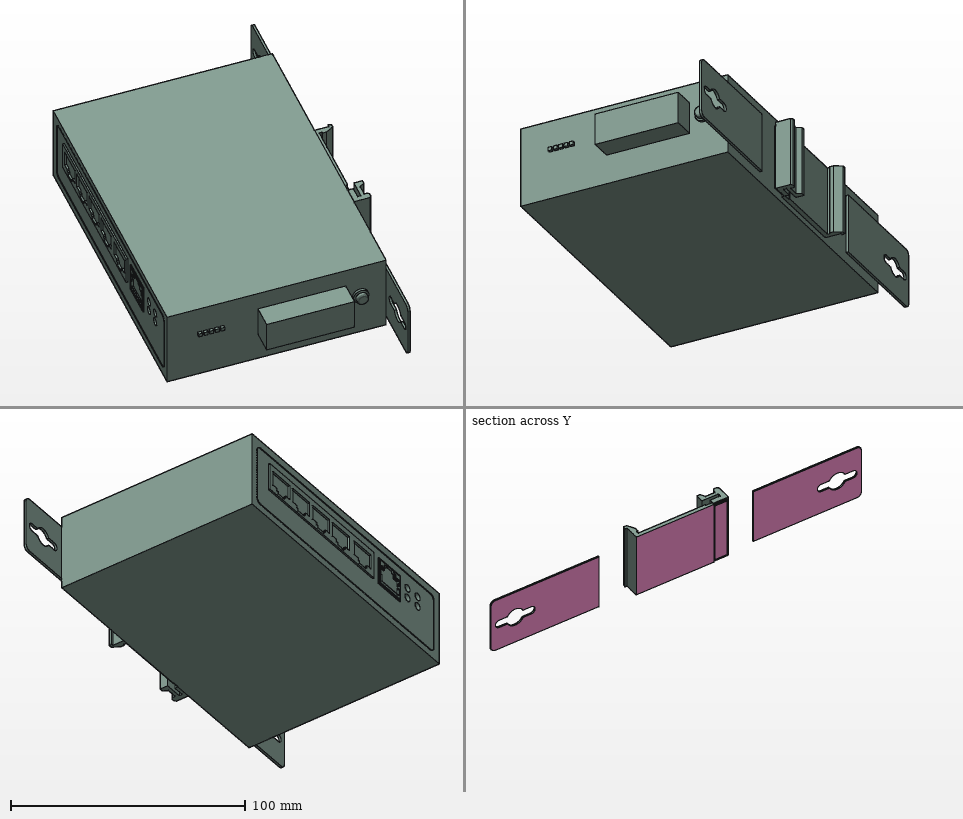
import cadquery as cq

TOTAL_WIDTH = 189.0
BODY_WIDTH = 137.0
BODY_DEPTH = 100.0
BODY_HEIGHT = 38.0
FRONT_Y = -BODY_DEPTH / 2
REAR_Y = BODY_DEPTH / 2
SIDE_X = BODY_WIDTH / 2

PANEL_WIDTH = 129.3
PANEL_HEIGHT = 30.2
PANEL_RADIUS = 2.5
PANEL_DEPTH = 0.4
PANEL_Y = FRONT_Y + PANEL_DEPTH

BLOCK_TOP = 10.5
BLOCK_BOTTOM = -3.2
BLOCK_PROUD = 0.4
BLOCK_Y = FRONT_Y - BLOCK_PROUD
PORT_BLOCK_LEFT = -56.1
PORT_BLOCK_RIGHT = 20.2

PORT_DEPTH = 1.0
PORT_TOP = 7.7
PORT_TIERS = ((12.3, 0.4), (6.5, -0.8), (4.5, -1.9))
FIRST_PORT_X = -47.6
PORT_PITCH = 14.5
PORTS_IN_ROW = 4
LAST_PORT_X = 12.0

JACK_X = 32.1
JACK_WIDTH = 15.9
JACK_RIM = 0.5
JACK_STEP_DEPTH = 0.5
JACK_DEPTH = 1.1
JACK_MOUTH = ((2.3, 9.8), (2.3, 8.7), (4.2, 8.7), (4.2, 7.2), (6.2, 7.2), (6.2, -1.1))
JACK_THROAT = ((2.3, 9.8), (2.3, 8.7), (3.4, 8.7), (3.4, 6.6), (6.2, 6.6), (6.2, -0.5))
SPRING_NOTCH_WIDTH = 14.0
SPRING_NOTCH_Z = 3.8
SPRING_NOTCH_STEPS = ((3.0, JACK_STEP_DEPTH), (1.3, JACK_DEPTH))

LIGHT_DIAMETER = 3.5
LIGHT_DEPTH = 1.9
LIGHT_COLUMNS = (45.7, 53.1)
LIGHT_ROWS = (2.6, 7.7)

EAR_LENGTH = 55.2
EAR_HEIGHT = 28.0
EAR_THICKNESS = 1.1
EAR_RADIUS = 2.5
KEYHOLE_X = 82.0
KEYHOLE_DIAMETER = 8.7
KEYHOLE_SLOT_LENGTH = 20.0
KEYHOLE_SLOT_WIDTH = 3.8

TERMINAL_LENGTH = 10.4
TERMINAL_FRONT = -8.5
TERMINAL_REAR = 31.5
TERMINAL_TOP = 10.0
TERMINAL_BOTTOM = -5.0
PIN_COUNT = 5
PIN_SIZE = 1.7
PIN_LENGTH = 1.3
PIN_SPAN = 10.2
FIRST_PIN_Y = -35.2
PIN_Z = 4.7
SCREW_Y = 38.2
SCREW_Z = (TERMINAL_TOP + TERMINAL_BOTTOM) / 2
SCREW_FLANGE_DIAMETER = 7.0
SCREW_FLANGE_LENGTH = 1.7
SCREW_FLANGE_TAPER = 0.5
SCREW_HEAD_DIAMETER = 5.3
SCREW_HEAD_LENGTH = 3.5
SCREW_HEAD_RADIUS = 0.5

CLIP_WIDTH = 32.5
CLIP_HEIGHT = 9.0
CLIP_FLOOR = 2.3
CLIP_LEFT = -20.5
CLIP_RIGHT = 27.0
CLIP_FLOOR_STEP = 1.7
HOOK_LIP_LEFT = -21.5
HOOK_LIP_BOTTOM = 7.5
HOOK_TIP_LEFT = -21.2
HOOK_TIP_RIGHT = -19.7
HOOK_BULGE_RIGHT = -17.5
HOOK_BULGE_TOP = 5.5
HOOK_BULGE_BOTTOM = 3.5
HOOK_ROOT_RIGHT = -18.1
LATCH_LEFT = 16.0
LATCH_NECK_X = 19.3
LATCH_BASE = 1.1
LEFT_LUG_TIP_RIGHT = 17.8
SADDLE_LEFT = 19.0
SADDLE_RIGHT = 24.0
SADDLE_HEIGHT = 6.8
RIGHT_LUG_SHOULDER = 8.3
RIGHT_LUG_TIP_LEFT = 24.8
RIGHT_LUG_TIP_RIGHT = 26.0
SLOT_BOTTOM = 3.5
SLOT_TOP = 5.1
SLOT_END = 24.5
LATCH_FOOT_LEFT = 19.7
LATCH_FOOT_RIGHT = 26.0
LATCH_FOOT_INSETS = (1.1, 0.5)
ROD_DIAMETER = 1.7
ROD_LEFT = 12.1
ROD_RIGHT = 23.2
ROD_HEIGHT = 4.5
ROD_CHAMFER = 0.5


def box(x0, x1, y0, y1, z0, z1):
    """Box between two opposite corners."""
    return cq.Workplane("XY").box(x1 - x0, y1 - y0, z1 - z0, centered=False).translate((x0, y0, z0))


def front_prism(outline, y, depth):
    """Closed (x, z) outline swept from y toward the rear."""
    return cq.Workplane("XZ", origin=(0, y, 0)).polyline(outline).close().extrude(-depth)


def mirrored_outline(half, center_x):
    """Full outline from the (half width, z) corners of its right-hand half."""
    right = [(center_x + x, z) for x, z in half]
    left = [(center_x - x, z) for x, z in reversed(half)]
    return right + left


def side_cylinder(diameter, length, y, z):
    """Cylinder standing on the +X side."""
    return cq.Workplane("YZ", origin=(SIDE_X, y, z)).circle(diameter / 2).extrude(length)


def make_body():
    body = cq.Workplane("XY").box(BODY_WIDTH, BODY_DEPTH, BODY_HEIGHT)
    recess = (
        cq.Workplane("XY")
        .box(PANEL_WIDTH, PANEL_DEPTH, PANEL_HEIGHT)
        .edges("|Y")
        .fillet(PANEL_RADIUS)
        .translate((0, FRONT_Y + PANEL_DEPTH / 2, 0))
    )
    return body.cut(recess)


def make_port(center_x):
    half = []
    top = PORT_TOP
    for width, bottom in PORT_TIERS:
        half += [(width / 2, top), (width / 2, bottom)]
        top = bottom
    return front_prism(mirrored_outline(half, center_x), BLOCK_Y, PORT_DEPTH)


def port_centers():
    row = [FIRST_PORT_X + i * PORT_PITCH for i in range(PORTS_IN_ROW)]
    return row + [LAST_PORT_X]


def add_ports(part):
    part = part.union(box(PORT_BLOCK_LEFT, PORT_BLOCK_RIGHT, BLOCK_Y, PANEL_Y, BLOCK_BOTTOM, BLOCK_TOP))
    for center_x in port_centers():
        part = part.cut(make_port(center_x))
    return part


def add_jack(part):
    """Shielded jack: a stepped rim around a stepped opening that narrows at the top."""
    half_width = JACK_WIDTH / 2
    part = part.union(
        box(JACK_X - half_width, JACK_X + half_width, FRONT_Y, PANEL_Y, BLOCK_BOTTOM, BLOCK_TOP)
    )
    inner = half_width - JACK_RIM
    part = part.union(
        box(JACK_X - inner, JACK_X + inner, BLOCK_Y, PANEL_Y, BLOCK_BOTTOM + JACK_RIM, BLOCK_TOP - JACK_RIM)
    )
    part = part.cut(front_prism(mirrored_outline(JACK_MOUTH, JACK_X), BLOCK_Y, JACK_STEP_DEPTH))
    part = part.cut(front_prism(mirrored_outline(JACK_THROAT, JACK_X), BLOCK_Y, JACK_DEPTH))
    notch = SPRING_NOTCH_WIDTH / 2
    for height, depth in SPRING_NOTCH_STEPS:
        bottom = SPRING_NOTCH_Z - height / 2
        part = part.cut(
            box(JACK_X - notch, JACK_X + notch, BLOCK_Y, BLOCK_Y + depth, bottom, bottom + height)
        )
    return part


def cut_lights(part):
    centers = [(x, z) for x in LIGHT_COLUMNS for z in LIGHT_ROWS]
    holes = (
        cq.Workplane("XZ", origin=(0, PANEL_Y, 0))
        .pushPoints(centers)
        .circle(LIGHT_DIAMETER / 2)
        .extrude(-LIGHT_DEPTH)
    )
    return part.cut(holes)


def make_ear():
    """Right-hand ear with a round hole crossed by a slot."""
    plate = (
        cq.Workplane("XZ", origin=(0, REAR_Y, 0))
        .center((TOTAL_WIDTH - EAR_LENGTH) / 2, 0)
        .rect(EAR_LENGTH, EAR_HEIGHT)
        .extrude(-EAR_THICKNESS)
        .edges("|Y and >X")
        .fillet(EAR_RADIUS)
    )
    keyhole = cq.Workplane("XZ", origin=(KEYHOLE_X, REAR_Y, 0))
    plate = plate.cut(keyhole.circle(KEYHOLE_DIAMETER / 2).extrude(-EAR_THICKNESS))
    return plate.cut(keyhole.slot2D(KEYHOLE_SLOT_LENGTH, KEYHOLE_SLOT_WIDTH).extrude(-EAR_THICKNESS))


def add_ears(part):
    ear = make_ear()
    return part.union(ear).union(ear.mirror("YZ"))


def add_terminal(part):
    return part.union(
        box(SIDE_X, SIDE_X + TERMINAL_LENGTH, TERMINAL_FRONT, TERMINAL_REAR, TERMINAL_BOTTOM, TERMINAL_TOP)
    )


def add_pins(part):
    pitch = PIN_SPAN / (PIN_COUNT - 1)
    for i in range(PIN_COUNT):
        pin = cq.Workplane("YZ", origin=(SIDE_X, FIRST_PIN_Y + i * pitch, PIN_Z)).rect(PIN_SIZE, PIN_SIZE)
        part = part.union(pin.extrude(PIN_LENGTH))
    return part


def add_screw(part):
    flange = side_cylinder(SCREW_FLANGE_DIAMETER, SCREW_FLANGE_LENGTH, SCREW_Y, SCREW_Z)
    flange = flange.faces(">X").chamfer(SCREW_FLANGE_TAPER, SCREW_FLANGE_LENGTH - SCREW_FLANGE_TAPER)
    head = side_cylinder(SCREW_HEAD_DIAMETER, SCREW_HEAD_LENGTH, SCREW_Y, SCREW_Z)
    return part.union(flange).union(head.faces(">X").edges().fillet(SCREW_HEAD_RADIUS))


def clip_prism(outline):
    """Closed outline of (x, height above the rear face), centred in Z."""
    return (
        cq.Workplane("XY", origin=(0, REAR_Y, -CLIP_WIDTH / 2))
        .polyline(outline)
        .close()
        .extrude(CLIP_WIDTH)
    )


def make_clip_base():
    """Floor plate with the fixed hook at its left end."""
    outline = [
        (CLIP_LEFT, 0),
        (CLIP_LEFT, HOOK_LIP_BOTTOM),
        (HOOK_LIP_LEFT, HOOK_LIP_BOTTOM),
        (HOOK_TIP_LEFT, CLIP_HEIGHT),
        (HOOK_TIP_RIGHT, CLIP_HEIGHT),
        (HOOK_BULGE_RIGHT, HOOK_BULGE_TOP),
        (HOOK_BULGE_RIGHT, HOOK_BULGE_BOTTOM),
        (HOOK_ROOT_RIGHT, HOOK_BULGE_BOTTOM),
        (HOOK_ROOT_RIGHT, CLIP_FLOOR),
        (LATCH_LEFT, CLIP_FLOOR),
        (LATCH_LEFT, CLIP_FLOOR_STEP),
        (LATCH_NECK_X, CLIP_FLOOR_STEP),
        (LATCH_NECK_X, 0),
    ]
    return clip_prism(outline)


def make_latch():
    """Sliding latch: two lugs with a saddle between them, slotted from the left."""
    outline = [
        (LATCH_NECK_X, LATCH_BASE),
        (LATCH_NECK_X, SLOT_BOTTOM),
        (SLOT_END, SLOT_BOTTOM),
        (SLOT_END, SLOT_TOP),
        (LATCH_LEFT, SLOT_TOP),
        (LATCH_LEFT, CLIP_HEIGHT),
        (LEFT_LUG_TIP_RIGHT, CLIP_HEIGHT),
        (SADDLE_LEFT, SADDLE_HEIGHT),
        (SADDLE_RIGHT, SADDLE_HEIGHT),
        (SADDLE_RIGHT, RIGHT_LUG_SHOULDER),
        (RIGHT_LUG_TIP_LEFT, CLIP_HEIGHT),
        (RIGHT_LUG_TIP_RIGHT, CLIP_HEIGHT),
        (CLIP_RIGHT, RIGHT_LUG_SHOULDER),
        (CLIP_RIGHT, LATCH_BASE),
    ]
    return clip_prism(outline)


def make_latch_foot():
    """Stepped foot joining the latch to the rear face, one tier per inset."""
    tier_height = LATCH_BASE / len(LATCH_FOOT_INSETS)
    foot = cq.Workplane("XY")
    for i, inset in enumerate(LATCH_FOOT_INSETS):
        y = REAR_Y + i * tier_height
        half = CLIP_WIDTH / 2 - inset
        foot = foot.union(box(LATCH_FOOT_LEFT, LATCH_FOOT_RIGHT, y, y + tier_height, -half, half))
    return foot


def make_latch_rod():
    """Round rod with a pointed left end, held in the latch slot."""
    return (
        cq.Workplane("YZ", origin=(ROD_LEFT, REAR_Y + ROD_HEIGHT, 0))
        .circle(ROD_DIAMETER / 2)
        .extrude(ROD_RIGHT - ROD_LEFT)
        .faces("<X")
        .chamfer(ROD_CHAMFER)
    )


def add_clip(part):
    for piece in (make_clip_base(), make_latch(), make_latch_foot(), make_latch_rod()):
        part = part.union(piece)
    return part


result = make_body()
result = add_ports(result)
result = add_jack(result)
result = cut_lights(result)
result = add_ears(result)
result = add_terminal(result)
result = add_pins(result)
result = add_screw(result)
result = add_clip(result)